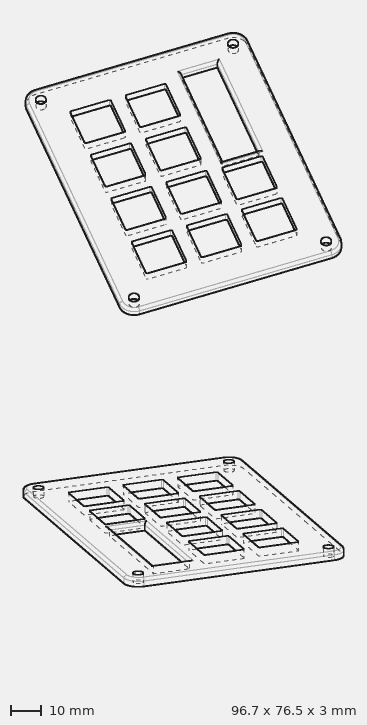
import cadquery as cq

PLATE_LENGTH = 96.74
PLATE_WIDTH = 76.45
PLATE_THICKNESS = 3.0
CORNER_RADIUS = 5.0
EDGE_ROUNDING = 1.0

SCREW_HOLE_DIAMETER = 3.4

KEY_SIZE = 14.0
KEY_CORNER_RADIUS = 0.5
KEY_PITCH = 19.05
KEY_COLUMNS = 4
KEY_ROWS = 3
SHIFTED_KEY_OFFSET = 0.7

WINDOW_LENGTH = 38.55
WINDOW_WIDTH = 12.5
WINDOW_CENTER = (-18.8, 19.55)
WINDOW_ROUNDING = 1.0


def column_x(column):
    """X of a key column, counted from the left."""
    return (column - (KEY_COLUMNS - 1) / 2) * KEY_PITCH


def row_y(row):
    """Y of a key row, counted from the bottom."""
    return (row - (KEY_ROWS - 1) / 2) * KEY_PITCH


def make_plate():
    """Rounded rectangular plate with its upper edge rounded over."""
    return (
        cq.Workplane("XY")
        .box(PLATE_LENGTH, PLATE_WIDTH, PLATE_THICKNESS, centered=(True, True, False))
        .edges("|Z")
        .fillet(CORNER_RADIUS)
        .faces(">Z")
        .edges()
        .fillet(EDGE_ROUNDING)
    )


def make_screw_holes():
    """Cutters for the four corner screw holes."""
    spacing_x = PLATE_LENGTH - 2 * CORNER_RADIUS
    spacing_y = PLATE_WIDTH - 2 * CORNER_RADIUS
    return (
        cq.Workplane("XY")
        .rect(spacing_x, spacing_y, forConstruction=True)
        .vertices()
        .circle(SCREW_HOLE_DIAMETER / 2)
        .extrude(PLATE_THICKNESS)
    )


def key_centers():
    """Two full rows of keys, then a top row that leaves room for the window."""
    top_row = KEY_ROWS - 1
    centers = []
    for row in range(top_row):
        for column in range(KEY_COLUMNS):
            centers.append((column_x(column), row_y(row)))
    centers.append((column_x(KEY_COLUMNS - 2) + SHIFTED_KEY_OFFSET, row_y(top_row)))
    centers.append((column_x(KEY_COLUMNS - 1), row_y(top_row)))
    return centers


def make_key_openings():
    """Cutters for the square key openings, with lightly rounded corners."""
    return (
        cq.Workplane("XY")
        .pushPoints(key_centers())
        .rect(KEY_SIZE, KEY_SIZE)
        .extrude(PLATE_THICKNESS)
        .edges("|Z")
        .fillet(KEY_CORNER_RADIUS)
    )


def cut_window(plate):
    """Cut the display window through the plate and round over its upper rim."""
    opening = (
        cq.Workplane("XY")
        .center(*WINDOW_CENTER)
        .rect(WINDOW_LENGTH, WINDOW_WIDTH)
        .extrude(PLATE_THICKNESS)
    )
    return (
        plate.cut(opening)
        .faces(">Z")
        .wires(cq.selectors.NearestToPointSelector((*WINDOW_CENTER, PLATE_THICKNESS)))
        .edges()
        .fillet(WINDOW_ROUNDING)
    )


windowed_plate = cut_window(make_plate())
result = windowed_plate.cut(make_screw_holes()).cut(make_key_openings())